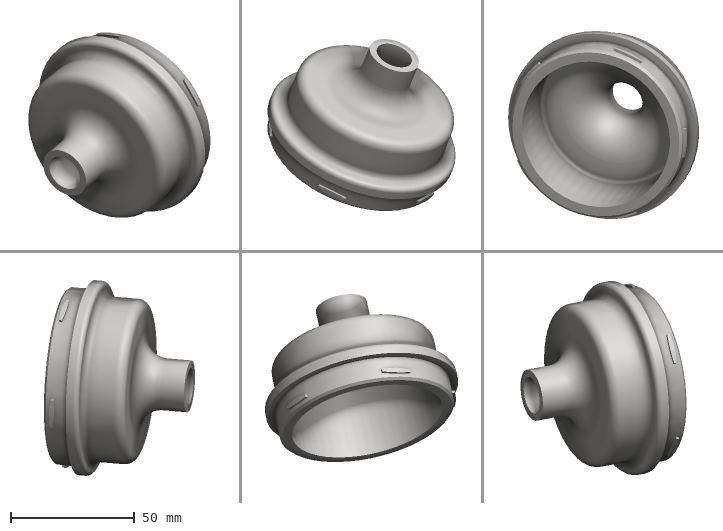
import cadquery as cq
import math

bore_radius = 7.5
cup_wall = 2.5
tube_radius = 10.5
body_radius = 33.5
flange_radius = 39.5
rim_radius = 35.9

rim_length = 10.0
flange_thickness = 5.0
body_length = 17.5
neck_length = 20.0

rim_draft = 1.0
rim_chamfer = 1.0
flange_round = 2.0
flange_cove = 3.0
body_round = 4.0
neck_cove = 10.0
neck_cove_inner = 15.0

lug_count = 5
lug_first_angle = 38.2
lug_radius = 37.0
lug_half_length = 6.1
lug_half_width = 1.05
lug_end_half_width = 0.55
lug_tilt = 2.5
lug_setback = 3.5
lug_root_depth = 1.0

rim_base_radius = rim_radius + rim_length * math.tan(math.radians(rim_draft))
flange_back = -rim_length
flange_front = flange_back - flange_thickness
body_front = flange_front - body_length
tube_end = body_front - neck_length
cavity_radius = body_radius - cup_wall
cavity_floor = body_front + cup_wall
cavity_corner = body_round - cup_wall


def corner_arc(profile, center, radius, start_angle, end_angle):
    """Line to the start of an arc about center, then follow the arc to its end."""
    def point(angle):
        turn = math.radians(angle)
        return (center[0] + radius * math.cos(turn), center[1] + radius * math.sin(turn))

    middle_angle = (start_angle + end_angle) / 2
    return profile.lineTo(*point(start_angle)).threePointArc(point(middle_angle), point(end_angle))


def revolve_about_y(profile):
    return profile.close().revolve(360, (0, 0, 0), (0, 1, 0))


def make_outer_body():
    profile = cq.Workplane("XY").lineTo(rim_radius - rim_chamfer, 0)
    profile = profile.lineTo(rim_radius, -rim_chamfer)
    profile = profile.lineTo(rim_base_radius, flange_back)
    profile = profile.lineTo(flange_radius, flange_back)
    round_center = (flange_radius - flange_round, flange_front + flange_round)
    profile = corner_arc(profile, round_center, flange_round, 0, -90)
    cove_center = (body_radius + flange_cove, flange_front - flange_cove)
    profile = corner_arc(profile, cove_center, flange_cove, 90, 180)
    round_center = (body_radius - body_round, body_front + body_round)
    profile = corner_arc(profile, round_center, body_round, 0, -90)
    cove_center = (tube_radius + neck_cove, body_front - neck_cove)
    profile = corner_arc(profile, cove_center, neck_cove, 90, 180)
    profile = profile.lineTo(tube_radius, tube_end).lineTo(0, tube_end)
    return revolve_about_y(profile)


def make_cavity():
    """Cup open at the rim face, flaring out of the bore through the neck."""
    profile = cq.Workplane("XY").lineTo(cavity_radius, 0)
    corner_center = (cavity_radius - cavity_corner, cavity_floor + cavity_corner)
    profile = corner_arc(profile, corner_center, cavity_corner, 0, -90)
    cove_center = (bore_radius + neck_cove_inner, cavity_floor - neck_cove_inner)
    profile = corner_arc(profile, cove_center, neck_cove_inner, 90, 180)
    profile = profile.lineTo(bore_radius, tube_end).lineTo(0, tube_end)
    return revolve_about_y(profile)


def make_lug_band():
    """Ring that bounds the lugs between their root and their cylindrical crest."""
    root_radius = rim_radius - lug_root_depth
    ring = cq.Workplane("XZ").circle(lug_radius).circle(root_radius)
    return ring.extrude(rim_length)


def make_lug(angle):
    """Barrel-shaped lug, tilted like a thread, at an angle from +X toward +Z."""
    lug = (
        cq.Workplane("YZ")
        .moveTo(-lug_end_half_width, -lug_half_length)
        .threePointArc((-lug_half_width, 0), (-lug_end_half_width, lug_half_length))
        .lineTo(lug_end_half_width, lug_half_length)
        .threePointArc((lug_half_width, 0), (lug_end_half_width, -lug_half_length))
        .close()
        .extrude(flange_radius)
    )
    lug = lug.rotate((0, 0, 0), (1, 0, 0), -lug_tilt)
    lug = lug.translate((0, -lug_setback, 0))
    return lug.rotate((0, 0, 0), (0, 1, 0), -angle).intersect(make_lug_band())


result = make_outer_body()
for index in range(lug_count):
    result = result.union(make_lug(lug_first_angle + index * 360 / lug_count))
result = result.cut(make_cavity())